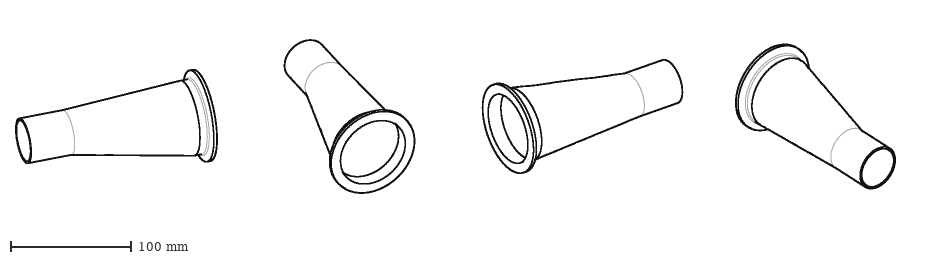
import cadquery as cq
import math

total_length = 152.4
wall = 1.7

flange_diameter = 77.4
rim_thickness = 2.9
flange_slope = 20.0
neck_diameter = 63.5
ferrule_length = 12.6
neck_fillet = 1.5

tube_diameter = 38.1
tube_length = 38.1

flange_radius = flange_diameter / 2
neck_radius = neck_diameter / 2
tube_radius = tube_diameter / 2
joint_y = total_length - ferrule_length
rim_y = total_length - rim_thickness
slope_drop = (flange_radius - neck_radius) * math.tan(math.radians(flange_slope))
neck_top_y = rim_y - slope_drop
tube_center_x = tube_radius - neck_radius


def make_ferrule():
    """Flanged ring: a revolved wall with a sloping flange and a filleted neck."""
    bore_radius = neck_radius - wall
    ring = (
        cq.Workplane("XY")
        .moveTo(bore_radius, joint_y)
        .lineTo(neck_radius, joint_y)
        .lineTo(neck_radius, neck_top_y)
        .lineTo(flange_radius, rim_y)
        .lineTo(flange_radius, total_length)
        .lineTo(bore_radius, total_length)
        .close()
        .revolve(360, (0, 0, 0), (0, 1, 0))
    )
    neck_radius_edges = cq.selectors.RadiusNthSelector(1)
    return ring.edges(neck_radius_edges).edges(">Y").fillet(neck_fillet)


def make_reducer_shape(inset):
    """Solid tube and slanted cone, with all radii reduced by the inset."""
    tube = cq.Solid.makeCylinder(
        tube_radius - inset, tube_length, cq.Vector(tube_center_x, 0, 0), cq.Vector(0, 1, 0)
    )
    along_y = cq.Vector(0, 1, 0)
    narrow_end = cq.Wire.makeCircle(
        tube_radius - inset, cq.Vector(tube_center_x, tube_length, 0), along_y
    )
    wide_end = cq.Wire.makeCircle(neck_radius - inset, cq.Vector(0, joint_y, 0), along_y)
    cone = cq.Solid.makeLoft([narrow_end, wide_end], True)
    return cq.Workplane("XY").add(tube).union(cq.Workplane("XY").add(cone))


def make_reducer():
    """Hollow reducer: the outer shape less the same shape one wall smaller."""
    return make_reducer_shape(0).cut(make_reducer_shape(wall))


ferrule = make_ferrule()
reducer = make_reducer()

result = cq.Compound.makeCompound([ferrule.solids().val(), reducer.solids().val()])